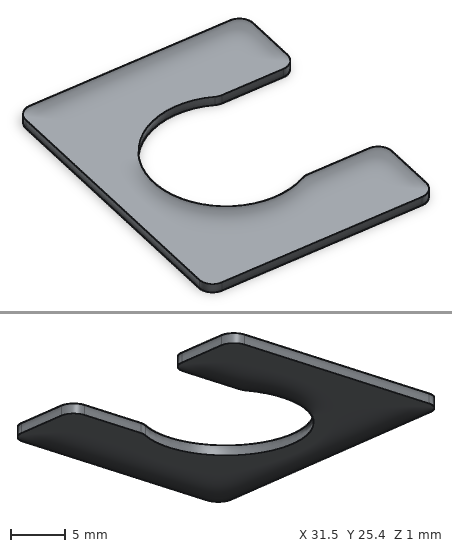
import cadquery as cq

width = 31.5
depth = 25.4
thickness = 1.0
corner_radius = 1.5

hole_diameter = 16.2
slot_width = 14.1
throat_radius = 1.5


def keyhole_cutter():
    """Round hole joined to a slot that runs out through the +Y side."""
    hole = cq.Workplane("XY").circle(hole_diameter / 2).extrude(thickness)
    slot_length = depth / 2
    slot = (
        cq.Workplane("XY")
        .center(0, slot_length / 2)
        .rect(slot_width, slot_length)
        .extrude(thickness)
    )
    return hole.union(slot)


plate = cq.Workplane("XY").rect(width, depth).extrude(thickness)
plate = plate.cut(keyhole_cutter())

plate = plate.edges("|Z and (<X or >X or >Y)").fillet(corner_radius)

throat_y = ((hole_diameter / 2) ** 2 - (slot_width / 2) ** 2) ** 0.5
margin = 0.3
throat_zone = cq.selectors.BoxSelector(
    (-slot_width / 2 - margin, throat_y - margin, -margin),
    (slot_width / 2 + margin, throat_y + margin, thickness + margin),
)
result = plate.edges("|Z").edges(throat_zone).fillet(throat_radius)